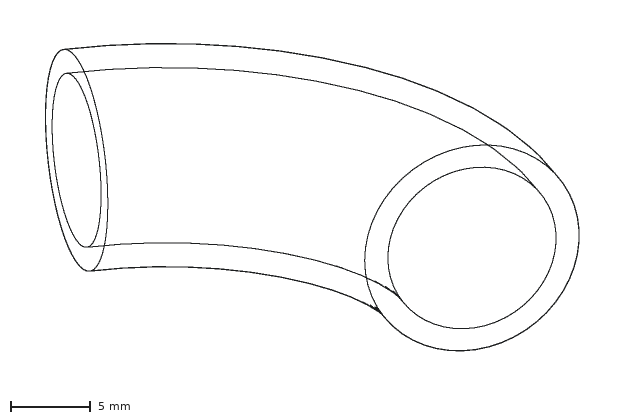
import cadquery as cq

overall_length = 27.0
outer_diameter = 14.0
bore_diameter = 11.0
bend_angle = 90.0

bend_radius = overall_length - outer_diameter / 2

pipe_section = (
    cq.Workplane("XZ")
    .center(-bend_radius, 0)
    .circle(outer_diameter / 2)
    .circle(bore_diameter / 2)
)

result = pipe_section.revolve(
    bend_angle,
    axisStart=(bend_radius, 0, 0),
    axisEnd=(bend_radius, -1, 0),
)